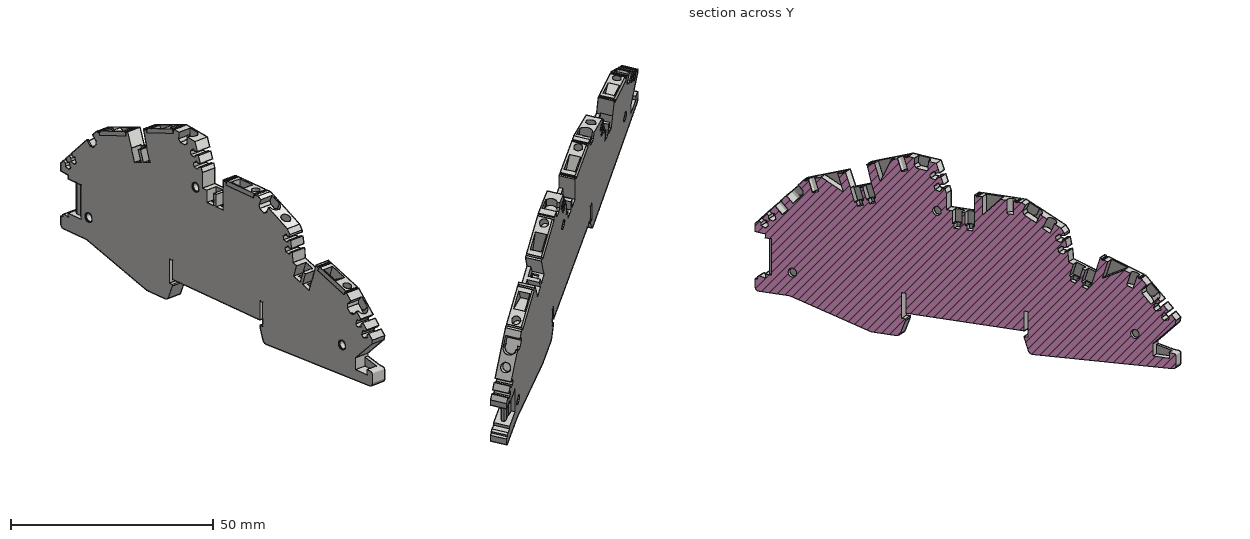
import cadquery as cq
import math


LENGTH = 115.0
THICKNESS = 4.1
HEIGHT = 47.3
MID_Y = THICKNESS / 2
OVERCUT = 0.3
POCKET_DEPTH = 3.1

RAIL_FLOOR_Z = 6.2
CLIP_SLOT_TOP_Z = 11.4
CLIP_LEDGE_Z = 4.8
CLIP_NOSE_Z = 4.4
CLIP_SLOT_WIDTH = 1.0
LEFT_CLIP_X = 41.2
RIGHT_CLIP_X = 73.5
LEFT_CLIP_TOE = (39.5, 0)
RIGHT_CLIP_TOE = (74.9, 0.3)

FOOT_LEFT = (0, RAIL_FLOOR_Z)
FOOT_HEEL = (LENGTH, 2.2)
FOOT_TOP = (LENGTH, 6.2)

STEP_X = 2.8
TONGUE_TIP_X = 3.8
TONGUE_ROOT_X = 7.5
TONGUE_BOTTOM_Z = 11.0
TONGUE_TOP_Z = 20.4

WING_TILT = 18.5
WING_HOLE_DIAMETER = 2.2
WING_HOLE_DEPTH = 3.5
WING_HOLE_OFFSET = 9.8
ENTRY_START = 2.3
ENTRY_LENGTH = 4.7
ENTRY_WIDTH = 2.9
BEVEL_START = 1.0
BEVEL_LENGTH = 10.2
BEVEL_HEIGHT = 1.0
BEVEL_DEPTH = 0.3
GROOVE_WIDTH = 0.5
GROOVE_DEPTH = 0.2

SEAT_WIDTH = 3.0
SEAT_DEPTH = 2.5
SEAT_CHAMFER = 0.7
SCREW_DIAMETER = 3.2
SEAT_BACK_Y = MID_Y + SCREW_DIAMETER / 2
FACET_HOLE_DIAMETER = 2.5
FACET_HOLE_DEPTH = 2.9

TWIN_WIDTH = 2.5
TWIN_PITCH = 3.5
TWIN_HEIGHT = 3.3
WELL_WIDTH = 1.5
WELL_LENGTH_Y = 1.6
WELL_BACK_GAP = 0.2
WELL_DEPTH = 1.2

LATCH_NECK_WIDTH = 1.0
LATCH_NECK_DEPTH = 0.8
LATCH_HEAD_WIDTH = 2.1
LATCH_SHOULDER_DEPTH = 1.4
LATCH_TIP_WIDTH = 0.9
LATCH_DEPTH = 2.5

DOWEL_DIAMETER = 2.5
DOWEL_INNER_DIAMETER = 2.2
DOWEL_RIM_DEPTH = 0.3
DOWEL_DEPTH = 2.3
DOWEL_CENTRES = [(10.2, 12.4), (49.7, 34.2), (103.7, 9.8)]

ROUNDED_CORNERS = [
    (FOOT_LEFT, 1.0),
    (LEFT_CLIP_TOE, 1.4),
    (RIGHT_CLIP_TOE, 1.4),
    (FOOT_HEEL, 1.0),
    (FOOT_TOP, 0.7),
]


def along_edge(point, tilt, distance):
    """Point at a distance from another one, on a line tilted in degrees above the X axis."""
    angle = math.radians(tilt)
    return (point[0] + distance * math.cos(angle), point[1] + distance * math.sin(angle))


WING_1_NOTCH = (24.7, 40.7)
WING_1_OUTER = along_edge(WING_1_NOTCH, WING_TILT, -12.3)
WING_2_OUTER = (41.9, HEIGHT)
WING_2_NOTCH = along_edge(WING_2_OUTER, WING_TILT, -12.0)
WING_3_NOTCH = (59.9, 39.7)
WING_3_OUTER = along_edge(WING_3_NOTCH, 0, 12.9)
WING_4_NOTCH = (94.2, 28.3)
WING_4_OUTER = along_edge(WING_4_NOTCH, -WING_TILT, 11.8)
NOTCH_1_RIGHT = (31.9, 38.3)
NOTCH_1_LEFT = along_edge(NOTCH_1_RIGHT, WING_TILT, -5.9)
NOTCH_2_RIGHT = (WING_3_NOTCH[0], 34.8)
NOTCH_2_LEFT = along_edge(NOTCH_2_RIGHT, 0, -7.6)
NOTCH_3_RIGHT = (92.7, 23.7)
NOTCH_3_LEFT = along_edge(NOTCH_3_RIGHT, -WING_TILT, -7.4)
FACET_1_END = (0, 23.8)
FACET_2_END = (49.6, 46.6)
FACET_3_END = (83.6, 34.5)
FACET_4_END = (LENGTH, 15.0)
FOOT_POCKET_LEFT = (108.8, 7.2)
FOOT_POCKET_RIGHT = (113.0, 6.3)
FOOT_POCKET_Z = 4.8


def front_prism(points, depth):
    """Prism on an XZ polygon, running from the front face to the given depth."""
    return cq.Workplane("XZ").polyline(points).close().extrude(-depth)


def edge_frame(point, tilt):
    """Frame on the profile edge: x along the edge, y into the plate, z out of the edge."""
    angle = math.radians(tilt)
    return cq.Plane(
        origin=(point[0], 0, point[1]),
        xDir=(math.cos(angle), 0, math.sin(angle)),
        normal=(-math.sin(angle), 0, math.cos(angle)),
    )


def edge_tilt(start, end):
    """Angle in degrees of the line from start to end above the X axis."""
    return math.degrees(math.atan2(end[1] - start[1], end[0] - start[0]))


def edge_box(frame, along, centre_y, width, length_y, depth):
    """Box sunk into a profile edge; width runs along the edge and length_y across it."""
    return (
        cq.Workplane(frame)
        .workplane(offset=OVERCUT)
        .center(along, centre_y)
        .rect(width, length_y)
        .extrude(-depth - OVERCUT)
    )


def edge_hole(frame, along, diameter, depth):
    """Blind hole drilled into a profile edge on the mid-plane."""
    return (
        cq.Workplane(frame)
        .workplane(offset=OVERCUT)
        .center(along, MID_Y)
        .circle(diameter / 2)
        .extrude(-depth - OVERCUT)
    )


def body():
    left_slot_x = LEFT_CLIP_X - CLIP_SLOT_WIDTH
    right_slot_x = RIGHT_CLIP_X + CLIP_SLOT_WIDTH
    outline = [
        FOOT_LEFT, (9.5, RAIL_FLOOR_Z), (31.7, 0), LEFT_CLIP_TOE,
        (LEFT_CLIP_X, CLIP_NOSE_Z), (LEFT_CLIP_X, CLIP_LEDGE_Z), (left_slot_x, CLIP_LEDGE_Z),
        (left_slot_x, CLIP_SLOT_TOP_Z), (LEFT_CLIP_X, CLIP_SLOT_TOP_Z), (LEFT_CLIP_X, RAIL_FLOOR_Z),
        (RIGHT_CLIP_X, RAIL_FLOOR_Z), (RIGHT_CLIP_X, CLIP_SLOT_TOP_Z),
        (right_slot_x, CLIP_SLOT_TOP_Z), (right_slot_x, CLIP_LEDGE_Z),
        (RIGHT_CLIP_X, CLIP_LEDGE_Z), (RIGHT_CLIP_X, CLIP_NOSE_Z), RIGHT_CLIP_TOE,
        FOOT_HEEL, FOOT_TOP, FOOT_POCKET_RIGHT,
        FOOT_POCKET_LEFT, (FOOT_POCKET_LEFT[0], 8.0), (114.8, 13.8),
        FACET_4_END, WING_4_OUTER, WING_4_NOTCH, NOTCH_3_RIGHT, NOTCH_3_LEFT, (85.6, 28.1),
        (84.5, 33.2), FACET_3_END, WING_3_OUTER, WING_3_NOTCH, NOTCH_2_RIGHT, NOTCH_2_LEFT,
        (NOTCH_2_LEFT[0], 39.1), FACET_2_END, WING_2_OUTER, WING_2_NOTCH, NOTCH_1_RIGHT, NOTCH_1_LEFT,
        WING_1_NOTCH, WING_1_OUTER, FACET_1_END,
        (0, 21.6), (STEP_X, 21.4), (STEP_X, TONGUE_TOP_Z), (TONGUE_TIP_X, TONGUE_TOP_Z),
        (TONGUE_TIP_X, TONGUE_BOTTOM_Z), (STEP_X, TONGUE_BOTTOM_Z), (STEP_X, 10.0), (1.3, 10.4),
        (0.7, 10.0), (0.7, 9.4), (0, 9.3),
    ]
    plate = front_prism(outline, THICKNESS)
    for (x, z), radius in ROUNDED_CORNERS:
        corner_edge = cq.selectors.NearestToPointSelector((x, MID_Y, z))
        plate = plate.edges("|Y").edges(corner_edge).fillet(radius)
    return plate


def tongue_recesses():
    """Material beside the tongue; its half-thickness grows in steps towards the root."""
    front_side = [
        (TONGUE_TIP_X, 0), (TONGUE_TIP_X, 1.7), (4.5, 1.4), (5.9, 1.4), (5.9, 1.3), (7.1, 1.0),
        (TONGUE_ROOT_X, 1.0), (TONGUE_ROOT_X, 0),
    ]
    height = TONGUE_TOP_Z - TONGUE_BOTTOM_Z
    front = (
        cq.Workplane("XY", origin=(0, 0, TONGUE_BOTTOM_Z))
        .polyline(front_side).close().extrude(height)
    )
    return front.union(front.mirror("XZ", (0, MID_Y, 0)))


def wing_cuts(corner, tilt, side):
    """Entry funnel, test hole, bevel and end grooves; side is the direction away from the notch."""
    frame = edge_frame(corner, tilt)
    entry_end = side * (ENTRY_START + ENTRY_LENGTH)
    entry_start = side * ENTRY_START
    funnel = [
        (entry_start, OVERCUT), (entry_start, -ENTRY_LENGTH), (entry_end, 0), (entry_end, OVERCUT),
    ]
    side_plane = cq.Plane(
        origin=frame.toWorldCoords((0, MID_Y - ENTRY_WIDTH / 2, 0)),
        xDir=frame.xDir, normal=(0, -1, 0),
    )
    cuts = cq.Workplane(side_plane).polyline(funnel).close().extrude(-ENTRY_WIDTH)
    cuts = cuts.union(
        edge_hole(frame, side * WING_HOLE_OFFSET, WING_HOLE_DIAMETER, WING_HOLE_DEPTH))
    bevel_plane = cq.Plane(
        origin=frame.toWorldCoords((side * BEVEL_START, 0, 0)),
        xDir=(0, 1, 0), normal=frame.xDir,
    )
    bevel_section = [(0, 0), (BEVEL_DEPTH, 0), (0, -BEVEL_HEIGHT)]
    bevel = cq.Workplane(bevel_plane).polyline(bevel_section).close().extrude(side * BEVEL_LENGTH)
    cuts = cuts.union(bevel)
    bevel_end = BEVEL_START + BEVEL_LENGTH
    for groove_centre in (BEVEL_START - GROOVE_WIDTH / 2, bevel_end + GROOVE_WIDTH / 2):
        groove = edge_box(frame, side * groove_centre, MID_Y, GROOVE_WIDTH, THICKNESS, GROOVE_DEPTH)
        cuts = cuts.union(groove)
    return cuts


def screw_seat(start, end, seat_along, screw_along):
    """U-shaped seat open at the front face, with the round screw hole behind it."""
    frame = edge_frame(start, edge_tilt(start, end))
    seat = (
        edge_box(frame, seat_along, SEAT_BACK_Y / 2, SEAT_WIDTH, SEAT_BACK_Y, SEAT_DEPTH)
        .edges("|Y").edges(cq.selectors.DirectionMinMaxSelector(-frame.zDir, True))
        .chamfer(SEAT_CHAMFER)
    )
    return seat.union(edge_hole(frame, screw_along, SCREW_DIAMETER, SEAT_DEPTH))


def facet_hole(start, end, along):
    frame = edge_frame(start, edge_tilt(start, end))
    return edge_hole(frame, along, FACET_HOLE_DIAMETER, FACET_HOLE_DEPTH)


def twin_pockets(corner, tilt):
    """Two front pockets below a notch floor, the first flush with the wing wall, each with a well."""
    frame = edge_frame(corner, tilt)
    well_y = POCKET_DEPTH - WELL_LENGTH_Y / 2 - WELL_BACK_GAP
    cuts = cq.Workplane()
    for index in range(2):
        along = -index * TWIN_PITCH - TWIN_WIDTH / 2
        pocket = edge_box(frame, along, POCKET_DEPTH / 2, TWIN_WIDTH, POCKET_DEPTH, TWIN_HEIGHT)
        well = edge_box(frame, along, well_y, WELL_WIDTH, WELL_LENGTH_Y, TWIN_HEIGHT + WELL_DEPTH)
        cuts = cuts.add(pocket.union(well))
    return cuts.combine()


def latch_slot(mouth, tilt):
    """Undercut slot through the full thickness; tilt is that of the edge at its mouth."""
    right_side = [
        (LATCH_NECK_WIDTH / 2, LATCH_NECK_DEPTH),
        (LATCH_NECK_WIDTH / 2, -LATCH_NECK_DEPTH),
        (LATCH_HEAD_WIDTH / 2, -LATCH_SHOULDER_DEPTH),
        (LATCH_TIP_WIDTH / 2, -LATCH_DEPTH),
    ]
    left_side = [(-along, height) for along, height in reversed(right_side)]
    plane = cq.Plane(
        origin=(mouth[0], 0, mouth[1]),
        xDir=edge_frame(mouth, tilt).xDir, normal=(0, -1, 0),
    )
    return cq.Workplane(plane).polyline(right_side + left_side).close().extrude(-THICKNESS)


def dowel_holes():
    face = cq.Workplane("XZ").pushPoints(DOWEL_CENTRES)
    holes = face.circle(DOWEL_INNER_DIAMETER / 2).extrude(-DOWEL_DEPTH)
    rims = face.circle(DOWEL_DIAMETER / 2).extrude(-DOWEL_RIM_DEPTH)
    return holes.union(rims)


def foot_pocket():
    left_x, right_x = FOOT_POCKET_LEFT[0], FOOT_POCKET_RIGHT[0]
    section = [FOOT_POCKET_LEFT, FOOT_POCKET_RIGHT, (right_x, FOOT_POCKET_Z), (left_x, FOOT_POCKET_Z)]
    return front_prism(section, POCKET_DEPTH)


WINGS = [
    (WING_1_NOTCH, WING_TILT, -1),
    (WING_2_NOTCH, WING_TILT, 1),
    (WING_3_NOTCH, 0, 1),
    (WING_4_NOTCH, -WING_TILT, 1),
]
SCREW_SEATS = [
    (FACET_1_END, WING_1_OUTER, 15.1, 13.6),
    (WING_2_OUTER, FACET_2_END, 3.3, 4.0),
    (WING_3_OUTER, FACET_3_END, 2.8, 4.1),
    (WING_4_OUTER, FACET_4_END, 3.8, 5.0),
]
FACET_HOLES = [
    (FACET_1_END, WING_1_OUTER, 8.7),
    (WING_3_OUTER, FACET_3_END, 8.9),
]
TWIN_POCKETS = [
    (NOTCH_1_RIGHT, WING_TILT),
    (NOTCH_2_RIGHT, 0),
    (NOTCH_3_RIGHT, -WING_TILT),
]
LATCH_SLOTS = [
    ((1.5, 25.2), 45), ((3.6, 27.3), 45),
    ((50.4, 43.6), -75), ((51.5, 40.7), -75),
    ((84.6, 32.2), -75), ((85.3, 29.2), -75),
    ((111.0, 18.7), -45), ((113.2, 16.6), -45),
]

result = body().cut(tongue_recesses()).cut(dowel_holes()).cut(foot_pocket())
for wing in WINGS:
    result = result.cut(wing_cuts(*wing))
for seat_spec in SCREW_SEATS:
    result = result.cut(screw_seat(*seat_spec))
for hole_spec in FACET_HOLES:
    result = result.cut(facet_hole(*hole_spec))
for pocket_spec in TWIN_POCKETS:
    result = result.cut(twin_pockets(*pocket_spec))
for slot_spec in LATCH_SLOTS:
    result = result.cut(latch_slot(*slot_spec))